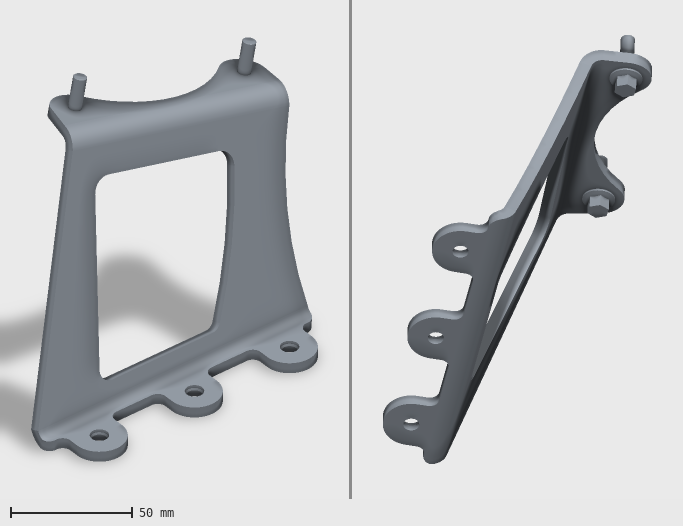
import cadquery as cq
import math

sheet = 5.0
inner_radius = 5.0
outer_radius = inner_radius + sheet
lean = math.radians(20)
slope = math.radians(11)

tab_pitch = 49.9
tab_radius = 11.7
tap_drill_diameter = 6.6
tap_mouth_diameter = 8.0
tap_mouth_depth = 1.5
foot_bend_x = -9.5
slot_edge_x = -8.5
slot_fillet = 4.0
foot_half_length = 70.8
corner_rounding = 4.0
corner_start_angle = math.radians(28)

rear_edge_top_y = 84.0
rear_edge_middle = (72.4, 46.8)
front_edge_top_y = -23.7
window_bottom = 7.0
window_top_margin = 13.0
window_front_low_y = -36.5
window_front_high_y = -16.1
window_rear_low_y = 25.6
window_rear_middle = (43.0, 43.0)
window_rear_high_y = 52.9
window_low_fillet = 5.0
window_high_fillet = 7.5

flange_height = 111.0
front_bolt_x = -70.1
front_bolt_y = -7.3
bolt_pitch = 86.0
ear_radius = 10.6
scoop_radius = 49.9
front_corner_angle = math.radians(24)
front_end = -12.8
front_corner = (-ear_radius * math.sin(front_corner_angle), -ear_radius * math.cos(front_corner_angle))
rear_end = bolt_pitch + ear_radius

shank_diameter = 5.8
tip_diameter = 5.0
shank_length = 20.0
head_height = 6.6
hex_flats = 8.0
collar_diameter = 13.6
collar_rim = 0.8
collar_height = 1.7

web_normal = cq.Vector(math.cos(lean), 0, math.sin(lean))
flange_normal = cq.Vector(0, math.sin(slope), math.cos(slope))
bend_along = flange_normal.cross(web_normal).normalized()
bend_across = bend_along.cross(flange_normal)

lower_axis = cq.Vector(foot_bend_x, 0, outer_radius)
web_plane = cq.Plane(lower_axis - web_normal * inner_radius, (0, 1, 0), web_normal)

front_bolt_z = flange_height - front_bolt_y * math.tan(slope)
flange_plane = cq.Plane((front_bolt_x, front_bolt_y, front_bolt_z), bend_across, flange_normal)

web_offset = (web_plane.origin - flange_plane.origin).dot(web_normal)
bend_cosine = web_normal.dot(flange_normal)
bend_angle = math.acos(bend_cosine)
flange_width = (web_offset - outer_radius * (1 - bend_cosine)) / math.sin(bend_angle)
upper_axis = flange_plane.toWorldCoords((flange_width, 0, -outer_radius))


def upper_bend_height(y):
    """Distance up the web at which the upper bend starts, at a given Y."""
    start = web_plane.toLocalCoords(upper_axis + web_normal * outer_radius)
    direction = web_plane.toLocalCoords(web_plane.origin + bend_along)
    return start.y + (y - start.x) * direction.y / direction.x


def along_bend(y):
    """Distance along the upper bend, from the front bolt, of a web corner at a given Y."""
    corner = web_plane.toWorldCoords((y, upper_bend_height(y), 0))
    return flange_plane.toLocalCoords(corner).y


def make_foot():
    foot = cq.Workplane("XY").box(
        slot_edge_x - foot_bend_x, 2 * foot_half_length, sheet, centered=False
    ).translate((foot_bend_x, -foot_half_length, 0))
    for i in (-1, 0, 1):
        tab = (
            cq.Workplane("XY").moveTo(slot_edge_x, -tab_radius - slot_fillet)
            .radiusArc((slot_edge_x + slot_fillet, -tab_radius), slot_fillet)
            .lineTo(0, -tab_radius)
            .threePointArc((tab_radius, 0), (0, tab_radius))
            .lineTo(slot_edge_x + slot_fillet, tab_radius)
            .radiusArc((slot_edge_x, tab_radius + slot_fillet), slot_fillet)
            .close().extrude(sheet)
        )
        foot = foot.union(tab.translate((0, i * tab_pitch, 0)))
    return foot


def make_lower_bend():
    def rim(radius, angle):
        return (foot_bend_x - radius * math.sin(angle), outer_radius - radius * math.cos(angle))

    turn = math.pi / 2 - lean
    return (
        cq.Workplane("XZ", origin=(0, foot_half_length, 0))
        .moveTo(*rim(outer_radius, 0))
        .threePointArc(rim(outer_radius, turn / 2), rim(outer_radius, turn))
        .lineTo(*rim(inner_radius, turn))
        .threePointArc(rim(inner_radius, turn / 2), rim(inner_radius, 0))
        .close().extrude(2 * foot_half_length)
    )


def make_corner_cut():
    """Waste outside the rounded -Y corner of the foot; the +Y one mirrors it.

    The rounding starts part-way round the bend, on a line square to the sheet, so the
    waste narrows from the underside up to the bend axis.
    """
    def section(start_x, z):
        width = slot_edge_x - start_x
        half = math.sqrt(0.5)
        middle = (start_x + width * half, -foot_half_length + corner_rounding * (1 - half))
        return (
            cq.Workplane("XY", origin=(0, 0, z)).moveTo(start_x, -foot_half_length)
            .threePointArc(middle, (slot_edge_x, -foot_half_length + corner_rounding))
            .lineTo(slot_edge_x, -foot_half_length)
            .close().val()
        )

    start_below = foot_bend_x - outer_radius * math.tan(corner_start_angle)
    sections = [section(start_below, 0), section(foot_bend_x, outer_radius)]
    return cq.Workplane(cq.Solid.makeLoft(sections, ruled=True))


def make_web():
    rear_top = (rear_edge_top_y, upper_bend_height(rear_edge_top_y))
    front_top = (front_edge_top_y, upper_bend_height(front_edge_top_y))
    return (
        cq.Workplane(web_plane).moveTo(-foot_half_length, 0)
        .lineTo(foot_half_length, 0)
        .threePointArc(rear_edge_middle, rear_top)
        .lineTo(*front_top)
        .close().extrude(-sheet)
    )


def make_window():
    def top(y):
        margin = window_top_margin / bend_along.y
        return (y, upper_bend_height(y) - margin)

    window = (
        cq.Workplane("XY").moveTo(window_front_low_y, window_bottom)
        .lineTo(window_rear_low_y, window_bottom)
        .threePointArc(window_rear_middle, top(window_rear_high_y))
        .lineTo(*top(window_front_high_y))
        .close().extrude(-sheet)
    )
    window = window.edges("|Z and (not <Y)").fillet(window_high_fillet)
    window = window.edges("|Z").edges("<Y").fillet(window_low_fillet)
    return window.val().located(cq.Location(web_plane))


def make_flange():
    half = bolt_pitch / 2
    reach = ear_radius + scoop_radius
    scoop_center = -math.sqrt(reach ** 2 - half ** 2)
    across = ear_radius * scoop_center / reach
    along = ear_radius * half / reach
    return (
        cq.Workplane(flange_plane).moveTo(flange_width, front_end)
        .lineTo(*front_corner)
        .threePointArc((-ear_radius, 0), (across, along))
        .threePointArc((scoop_center + scoop_radius, half), (across, bolt_pitch - along))
        .threePointArc((-ear_radius, bolt_pitch), (0, rear_end))
        .lineTo(flange_width, rear_end)
        .close().extrude(-sheet)
    )


def make_upper_bend():
    """Curved strip whose ends run evenly from the flange corners to the web corners."""
    steps = 6
    front_shift = along_bend(front_edge_top_y) - front_end
    rear_shift = along_bend(rear_edge_top_y) - rear_end
    sections = []
    for i in range(steps + 1):
        part = i / steps
        angle = part * bend_angle
        outward = flange_normal * math.cos(angle) + bend_across * math.sin(angle)
        front = bend_along * (front_end + part * front_shift)
        rear = bend_along * (rear_end + part * rear_shift)
        inside = upper_axis + outward * inner_radius
        outside = upper_axis + outward * outer_radius
        corners = [inside + front, outside + front, outside + rear, inside + rear]
        sections.append(cq.Wire.makePolygon(corners, close=True))
    return cq.Solid.makeLoft(sections)


def make_tapped_hole():
    """Through hole with a wide mouth that narrows to the drill size at 45 degrees."""
    drill_radius = tap_drill_diameter / 2
    mouth_radius = tap_mouth_diameter / 2
    mouth_floor = sheet - tap_mouth_depth
    return (
        cq.Workplane("XZ").moveTo(0, 0)
        .lineTo(drill_radius, 0)
        .lineTo(drill_radius, mouth_floor - (mouth_radius - drill_radius))
        .lineTo(mouth_radius, mouth_floor)
        .lineTo(mouth_radius, sheet)
        .lineTo(0, sheet)
        .close().revolve(360, (0, 0), (0, 1))
    )


def make_bracket():
    corner = make_corner_cut()
    bracket = make_foot().union(make_lower_bend()).cut(corner).cut(corner.mirror("XZ"))
    bracket = bracket.union(make_web()).union(make_upper_bend()).union(make_flange())
    bracket = bracket.cut(make_window())
    for i in (-1, 0, 1):
        bracket = bracket.cut(make_tapped_hole().translate((0, i * tab_pitch, 0)))
    bolt_holes = (
        cq.Workplane(flange_plane).pushPoints([(0, 0), (0, bolt_pitch)])
        .circle(shank_diameter / 2).extrude(-sheet)
    )
    return bracket.cut(bolt_holes)


def make_bolt(along):
    """Flange bolt whose head bears on the underside of the flange."""
    tip = (shank_diameter - tip_diameter) / 2
    shank = (
        cq.Workplane("XY").circle(shank_diameter / 2).extrude(shank_length)
        .faces(">Z").chamfer(tip)
    )
    collar = cq.Workplane("XY").circle(collar_diameter / 2).extrude(-collar_rim)
    cone = cq.Solid.makeCone(
        collar_diameter / 2, hex_flats / 2, collar_height - collar_rim,
        cq.Vector(0, 0, -collar_rim), cq.Vector(0, 0, -1),
    )
    hex_corners = hex_flats / math.cos(math.pi / 6)
    head = (
        cq.Workplane("XY").polygon(6, hex_corners).extrude(-head_height)
        .rotate((0, 0, 0), (0, 0, 1), 90)
    )
    bolt = shank.union(collar).union(cone).union(head)
    spot = cq.Plane(
        flange_plane.toWorldCoords((0, along, -sheet)), (1, 0, 0), flange_normal
    )
    return bolt.val().located(cq.Location(spot))


bracket = make_bracket()
bolts = [make_bolt(along) for along in (0, bolt_pitch)]

result = cq.Compound.makeCompound([bracket.val(), *bolts])